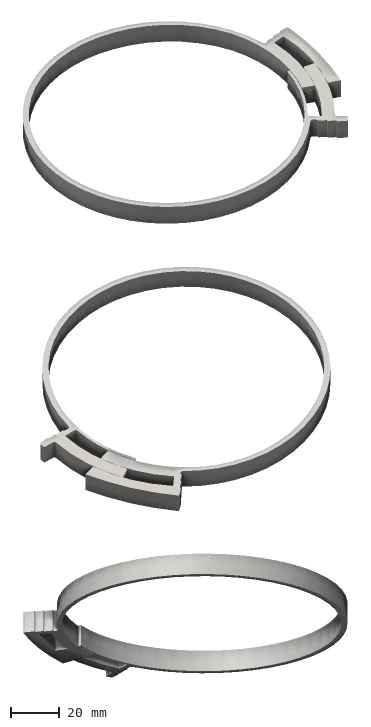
import cadquery as cq
import math

overall_length = 133.9
band_width = 9.0
ring_outer = 59.3
ring_inner = 56.8

swell_start = 180.0
swell_end = 130.0
swell_middle = (swell_start + swell_end) / 2
swell_outer_middle = 59.7
left_foot_radius = 60.5
swell_inner_middle = 57.5

arm_gap = 0.1
strip_gap = 0.3
strip_outer = 58.0
lower_arm_inner = strip_outer + strip_gap
lower_arm_outer = 63.7
middle_arm_inner = lower_arm_outer + arm_gap
middle_arm_outer = 69.2
upper_arm_inner = middle_arm_outer + arm_gap
grip_outer = 75.0
tab_outer = 74.7

upper_arm_middle = 73.9

left_side = 115.8
left_wall = 113.5
left_arm_tip = 84.4
right_side = 180 - left_side
right_wall = 180 - left_wall
middle_arm_tip = 95.8
strip_tip = 96.4

upper_arm_tip = (overall_length - ring_outer) / math.sin(math.radians(left_arm_tip))

tooth_pitch = 3.9
tooth_count = 3
first_tooth_radius = 70.4
tooth_depth = 0.5

foot_fillet = 1.1
grip_fillet = 0.8
tip_fillet = 0.7
slot_fillet = 0.4
strip_fillet = 1.1


def polar(radius, angle):
    return (radius * math.cos(math.radians(angle)), radius * math.sin(math.radians(angle)))


def arc(outline, radius, start, end):
    """Add an arc about the ring centre."""
    return outline.threePointArc(polar(radius, (start + end) / 2), polar(radius, end))


def grip_teeth(side, outward):
    """Tip and root of every tooth, from the outermost one inwards."""
    points = []
    for index in range(tooth_count):
        radius = first_tooth_radius - index * tooth_pitch
        lean = math.degrees(tooth_depth / radius)
        points.append(polar(radius, side + outward * lean))
        points.append(polar(radius - tooth_depth, side))
    return points


def draw_left_hook(outline):
    """Swollen ring end, toothed wall, upper arm, slot and lower arm."""
    outline = outline.threePointArc(polar(swell_outer_middle, swell_middle), polar(left_foot_radius, left_side))
    for point in reversed(grip_teeth(left_side, 1)):
        outline = outline.lineTo(*point)
    outline = outline.lineTo(*polar(grip_outer, left_side))
    outline = outline.threePointArc(
        polar(upper_arm_middle, (left_side + left_arm_tip) / 2), polar(upper_arm_tip, left_arm_tip)
    )
    outline = outline.lineTo(*polar(upper_arm_inner, left_arm_tip))
    outline = arc(outline, upper_arm_inner, left_arm_tip, left_wall)
    outline = outline.lineTo(*polar(lower_arm_outer, left_wall))
    outline = arc(outline, lower_arm_outer, left_wall, left_arm_tip)
    outline = outline.lineTo(*polar(lower_arm_inner, left_arm_tip))
    outline = arc(outline, lower_arm_inner, left_arm_tip, swell_end)
    return outline.threePointArc(polar(swell_inner_middle, swell_middle), polar(ring_inner, swell_start))


def draw_right_hook(outline):
    """Thin strip, slot, middle arm and the toothed finger tab."""
    outline = outline.lineTo(*polar(strip_outer, strip_tip))
    outline = arc(outline, strip_outer, strip_tip, right_wall)
    outline = outline.lineTo(*polar(middle_arm_inner, right_wall))
    outline = arc(outline, middle_arm_inner, right_wall, middle_arm_tip)
    outline = outline.lineTo(*polar(middle_arm_outer, middle_arm_tip))
    outline = arc(outline, middle_arm_outer, middle_arm_tip, right_wall)
    outline = outline.lineTo(*polar(tab_outer, right_wall))
    outline = outline.lineTo(*polar(tab_outer, right_side))
    for point in grip_teeth(right_side, -1):
        outline = outline.lineTo(*point)
    return outline.lineTo(*polar(ring_outer, right_side))


def band():
    """The whole ring and both hooks as one flat outline, extruded to the band width."""
    outline = cq.Workplane("XY").moveTo(*polar(ring_outer, swell_start))
    outline = draw_left_hook(outline)
    outline = arc(outline, ring_inner, swell_start, 360 + strip_tip)
    outline = draw_right_hook(outline)
    outline = arc(outline, ring_outer, right_side, swell_start - 360)
    return outline.close().extrude(band_width)


def round_corners(body, fillet, corners):
    """Round the upright edges that stand on the given (radius, angle) corners."""
    for corner in corners:
        x, y = polar(*corner)
        edge = cq.selectors.NearestToPointSelector((x, y, band_width / 2))
        body = body.edges("|Z").edges(edge).fillet(fillet)
    return body


result = band()
result = round_corners(result, foot_fillet, [(left_foot_radius, left_side), (ring_outer, right_side)])
result = round_corners(
    result, grip_fillet, [(grip_outer, left_side), (tab_outer, right_side), (middle_arm_outer, right_wall)]
)
result = round_corners(
    result, tip_fillet, [(middle_arm_inner, middle_arm_tip), (lower_arm_inner, left_arm_tip)]
)
result = round_corners(
    result,
    slot_fillet,
    [
        (upper_arm_inner, left_wall),
        (lower_arm_outer, left_wall),
        (middle_arm_inner, right_wall),
        (middle_arm_outer, middle_arm_tip),
        (lower_arm_outer, left_arm_tip),
        (upper_arm_inner, left_arm_tip),
        (tab_outer, right_wall),
    ],
)
result = round_corners(result, strip_fillet, [(strip_outer, right_wall)])